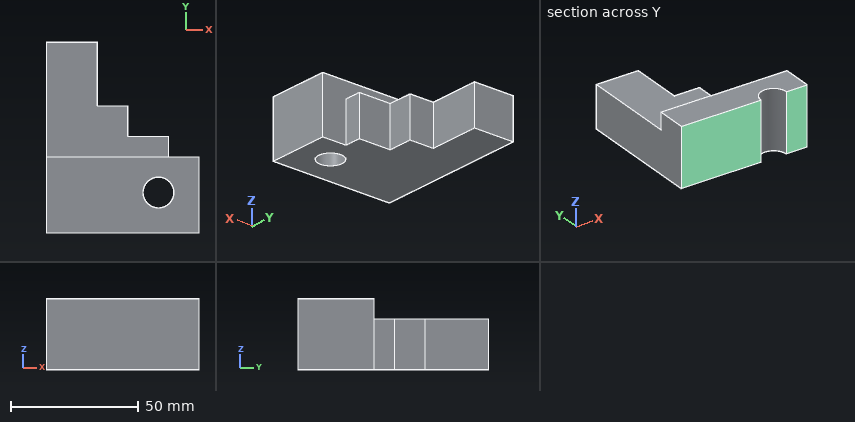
import cadquery as cq

length_x = 60.0
length_y = 75.0
height = 28.0

block_depth = 30.0

arm_height = 20.0
arm_width = 20.0
middle_step_x = 32.0
middle_step_y = 50.0
low_step_x = 48.0
low_step_y = 38.0

hole_diameter = 12.0
hole_x = 44.0
hole_y = 16.0


def make_block():
    return cq.Workplane("XY").box(length_x, block_depth, height, centered=False)


def make_stepped_arm():
    """Staircase outline, narrowing toward the back; its front lies inside the block."""
    outline = [
        (0, 0),
        (low_step_x, 0),
        (low_step_x, low_step_y),
        (middle_step_x, low_step_y),
        (middle_step_x, middle_step_y),
        (arm_width, middle_step_y),
        (arm_width, length_y),
        (0, length_y),
    ]
    return cq.Workplane("XY").polyline(outline).close().extrude(arm_height)


def make_hole():
    return cq.Workplane("XY").center(hole_x, hole_y).circle(hole_diameter / 2).extrude(height)


result = make_block().union(make_stepped_arm()).cut(make_hole())